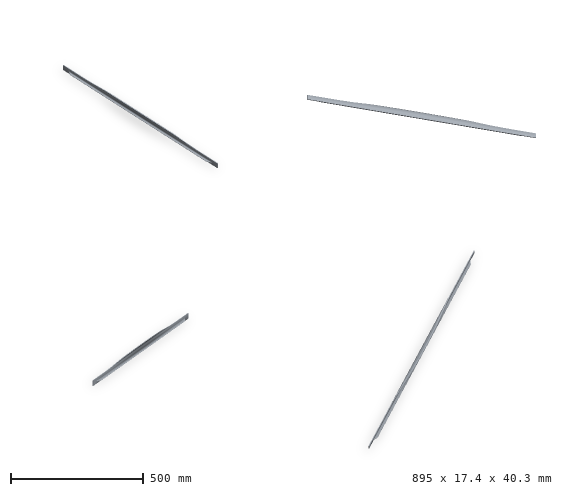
import cadquery as cq
import math

length = 895.0
depth = 17.4
height = 40.3
sheet = 3.3

plate_height = 21.5
lip_lean = 45.0
lip_half_width = 325.0
crown_half_width = 205.0

shelf_bottom = 7.0
shelf_thickness = 2.2
shelf_root_radius = 2.7
shelf_nose_radius = 1.8
shelf_reach = 12.8
shelf_end_gap = 27.0
shelf_flare = 23.0

half_length = length / 2
plate_front = depth - sheet
lean_sin = math.sin(math.radians(lip_lean))
lean_cos = math.cos(math.radians(lip_lean))


def level_arc_middle(run, rise):
    """Middle of an arc that leaves the origin level and ends at (run, rise)."""
    radius = (run**2 + rise**2) / (2 * rise)
    half_angle = math.atan2(rise, run)
    return radius * math.sin(half_angle), radius * (1 - math.cos(half_angle))


def make_bent_sheet():
    """Upright plate, bend and leaning lip in one section, carried along the full length."""
    overrun = sheet
    rise = height - plate_height
    run = depth - sheet / lean_cos

    bend_radius = (rise * lean_sin - run * lean_cos) / (1 - lean_cos)
    inner_radius = bend_radius - sheet
    bend_center_y = depth - bend_radius

    def on_bend(radius, degrees):
        angle = math.radians(degrees)
        return (bend_center_y + radius * math.cos(angle), plate_height + radius * math.sin(angle))

    end_y = -overrun * lean_sin
    end_z = height + overrun * lean_cos
    return (
        cq.Workplane("YZ")
        .moveTo(depth, 0)
        .lineTo(depth, plate_height)
        .threePointArc(on_bend(bend_radius, lip_lean / 2), on_bend(bend_radius, lip_lean))
        .lineTo(end_y + sheet * lean_cos, end_z + sheet * lean_sin)
        .lineTo(end_y, end_z)
        .lineTo(*on_bend(inner_radius, lip_lean))
        .threePointArc(on_bend(inner_radius, lip_lean / 2), (plate_front, plate_height))
        .lineTo(plate_front, 0)
        .close()
        .extrude(half_length, both=True)
    )


def make_front_outline():
    """Block with the front outline of the sheet: a long rectangle rising to a bell in the middle."""
    bell_height = height - plate_height
    inflection_rise = bell_height * (1 - crown_half_width / lip_half_width)
    inflection_z = plate_height + inflection_rise
    hollow_x, hollow_rise = level_arc_middle(lip_half_width - crown_half_width, inflection_rise)
    hollow_z = plate_height + hollow_rise
    return (
        cq.Workplane("XZ")
        .moveTo(-half_length, 0)
        .lineTo(-half_length, plate_height)
        .lineTo(-lip_half_width, plate_height)
        .threePointArc((hollow_x - lip_half_width, hollow_z), (-crown_half_width, inflection_z))
        .threePointArc((0, height), (crown_half_width, inflection_z))
        .threePointArc((lip_half_width - hollow_x, hollow_z), (lip_half_width, plate_height))
        .lineTo(half_length, plate_height)
        .lineTo(half_length, 0)
        .close()
        .extrude(-depth)
    )


def make_shelf():
    """Thin ledge with a rounded front edge and a root fillet, its ends flaring out along arcs."""
    root = half_length - shelf_end_gap
    tip = root - shelf_flare
    tip_y = depth - shelf_reach
    shelf_top = shelf_bottom + shelf_thickness
    nose_sag = shelf_nose_radius * (1 - math.sqrt(0.5))
    fillet_sag = shelf_root_radius * (1 - math.sqrt(0.5))
    section = (
        cq.Workplane("YZ")
        .moveTo(plate_front, shelf_bottom)
        .lineTo(tip_y, shelf_bottom)
        .lineTo(tip_y, shelf_top - shelf_nose_radius)
        .threePointArc(
            (tip_y + nose_sag, shelf_top - nose_sag),
            (tip_y + shelf_nose_radius, shelf_top),
        )
        .lineTo(plate_front - shelf_root_radius, shelf_top)
        .threePointArc(
            (plate_front - fillet_sag, shelf_top + fillet_sag),
            (plate_front, shelf_top + shelf_root_radius),
        )
        .close()
        .extrude(root, both=True)
    )
    flare_x, flare_y = level_arc_middle(shelf_flare, plate_front - tip_y)
    outline = (
        cq.Workplane("XY")
        .moveTo(-root, plate_front)
        .threePointArc((flare_x - root, plate_front - flare_y), (-tip, tip_y))
        .lineTo(tip, tip_y)
        .threePointArc((root - flare_x, plate_front - flare_y), (root, plate_front))
        .close()
        .extrude(plate_height)
    )
    return section.intersect(outline)


result = make_bent_sheet().intersect(make_front_outline()).union(make_shelf())